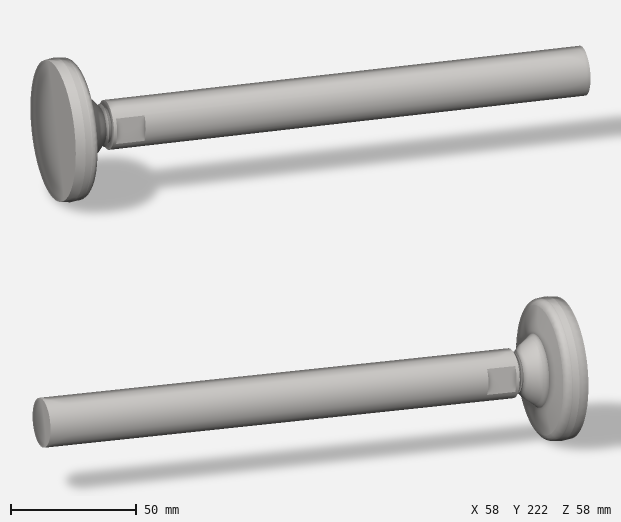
import cadquery as cq

TOTAL_LENGTH = 222.0

PAD_RADIUS = 58.0 / 2
WIDEST_HEIGHT = 4.0
UNDERSIDE_RADIUS = 28.5
SHOULDER_RADIUS = 28.6
SHOULDER_HEIGHT = 6.7
SLOPE_HEIGHT = 9.5
RIM_ROUNDING = 2.9
CORNER_MARGIN = 0.2
HUB_FOOT_RADIUS = 14.9
HUB_FOOT_HEIGHT = 11.5
DOME_FOOT_RADIUS = 13.3
DOME_FOOT_HEIGHT = 13.3
DOME_MID_RADIUS = 11.3
DOME_MID_HEIGHT = 16.5
DOME_TOP_RADIUS = 7.8
DOME_TOP_HEIGHT = 19.8
PAD_HEIGHT = 20.6
LIP_RADIUS = 8.7

SPINDLE_RADIUS = 20.0 / 2
SPINDLE_START = 22.2
NECK_RADIUS = 7.0

FLAT_WIDTH = 16.9
FLAT_START = 23.5
FLAT_LENGTH = 12.0


def revolve_about_y(outline):
    return outline.close().revolve(360, (0, 0, 0), (0, 1, 0))


def make_pad():
    """Round pad with a rounded rim and a domed hub."""
    outline = (
        cq.Workplane("XY")
        .lineTo(UNDERSIDE_RADIUS, 0)
        .lineTo(PAD_RADIUS, WIDEST_HEIGHT)
        .lineTo(SHOULDER_RADIUS, SHOULDER_HEIGHT)
        .lineTo(SHOULDER_RADIUS, SLOPE_HEIGHT)
        .lineTo(HUB_FOOT_RADIUS, HUB_FOOT_HEIGHT)
        .lineTo(DOME_FOOT_RADIUS, DOME_FOOT_HEIGHT)
        .threePointArc((DOME_MID_RADIUS, DOME_MID_HEIGHT), (DOME_TOP_RADIUS, DOME_TOP_HEIGHT))
        .lineTo(LIP_RADIUS, PAD_HEIGHT)
        .lineTo(0, PAD_HEIGHT)
    )
    pad = revolve_about_y(outline)
    rim_corner = cq.selectors.BoxSelector(
        (-PAD_RADIUS, SLOPE_HEIGHT - CORNER_MARGIN, -PAD_RADIUS),
        (PAD_RADIUS, SLOPE_HEIGHT + CORNER_MARGIN, PAD_RADIUS),
    )
    return pad.edges("%CIRCLE").edges(rim_corner).fillet(RIM_ROUNDING)


def make_spindle():
    """Plain rod on a narrower neck that rests on the pad, with two wrench flats."""
    outline = (
        cq.Workplane("XY")
        .moveTo(0, PAD_HEIGHT)
        .lineTo(NECK_RADIUS, PAD_HEIGHT)
        .lineTo(NECK_RADIUS, SPINDLE_START)
        .lineTo(SPINDLE_RADIUS, SPINDLE_START)
        .lineTo(SPINDLE_RADIUS, TOTAL_LENGTH)
        .lineTo(0, TOTAL_LENGTH)
    )
    spindle = revolve_about_y(outline)

    flat_centre_y = FLAT_START + FLAT_LENGTH / 2
    cutter_offset = FLAT_WIDTH / 2 + SPINDLE_RADIUS / 2
    for side in (-1, 1):
        cutter = cq.Workplane("XY").box(SPINDLE_RADIUS, FLAT_LENGTH, 2 * SPINDLE_RADIUS)
        spindle = spindle.cut(cutter.translate((side * cutter_offset, flat_centre_y, 0)))
    return spindle


pad = make_pad()
spindle = make_spindle()

result = cq.Compound.makeCompound([pad.val(), spindle.val()])